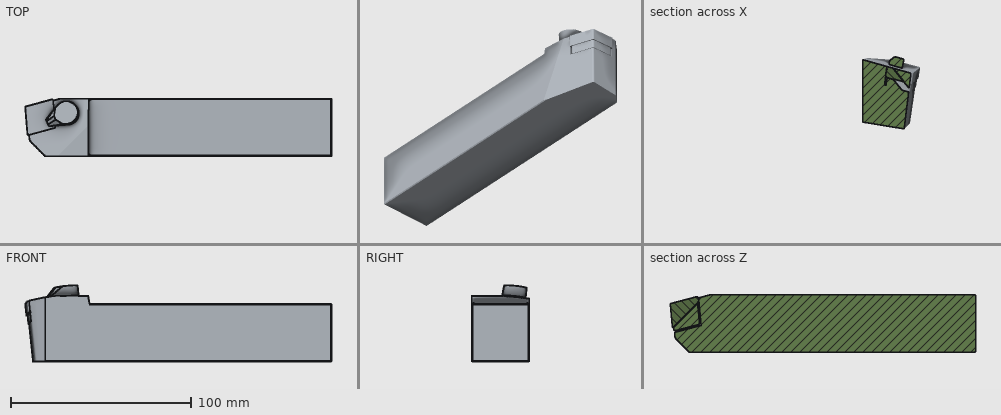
import cadquery as cq
import math

TOOL_LENGTH = 170.0
SHANK_SIZE = 32.0
HEAD_TOP = 36.5
HEAD_LENGTH = 35.0
STEP_RUN = 0.8
STEP_FILLET = 0.8
EDGE_CHAMFER = 0.5

RAKE_ANGLE = 6.0
TIP_X = 0.0
TIP_Y = 27.55
TIP_Z = 31.72

INSCRIBED_CIRCLE = 15.875
INSERT_THICKNESS = 6.35
INSERT_CORNER_RADIUS = 0.8
SHIM_THICKNESS = 4.76
SHIM_INSET = 0.55
SHIM_CORNER_RADIUS = 1.2
OBTUSE_CORNER = 100.0
SIDE_EDGE_ANGLE = 15.0

NOSE_INSET = 0.88
NOSE_BEVEL_SUM = 11.2
NOSE_TIP_RADIUS = 1.0
NOSE_BEVEL_RADIUS = 2.9

CLAMP_RADIUS = 6.3
CLAMP_HEIGHT = 6.89
CLAMP_RELIEF = 1.2
CLAMP_LIP = 1.5
CLAMP_NECK_RADIUS = 4.0
CLAMP_X = 23.65
CLAMP_Y = 23.6
CLAMP_REACH = 12.3
CLAMP_AXIS_ANGLE = 25.0
CLAMP_TIP_WIDTH = 4.1
CLAMP_TIP_HEIGHT = 1.7
CLAMP_ROOF_WIDTH = 2.1
CLAMP_ROOF_RUN = 5.2
CLAMP_FACET_TURN = 57.0

THROUGH = 300.0

TILT_ANGLE = math.degrees(math.atan(math.sqrt(2) * math.tan(math.radians(RAKE_ANGLE))))


def lean(flat):
    """Tip a flat-modelled body about the 45 degree line through the tip and set it in place."""
    return flat.rotate((0, 0, 0), (1, 1, 0), -TILT_ANGLE).translate((TIP_X, TIP_Y, TIP_Z))


def to_rake(x, y):
    """Rake-plane coordinates of the point that lies at plan position (x, y)."""
    along = ((x - TIP_X) + (y - TIP_Y)) / 2
    across = ((x - TIP_X) - (y - TIP_Y)) / 2 / math.cos(math.radians(TILT_ANGLE))
    return along + across, along - across


def polar(length, angle):
    return length * math.cos(math.radians(angle)), length * math.sin(math.radians(angle))


def add(*vectors):
    return tuple(sum(parts) for parts in zip(*vectors))


FRONT_EDGE_ANGLE = SIDE_EDGE_ANGLE - OBTUSE_CORNER
EDGE_LENGTH = INSCRIBED_CIRCLE / math.sin(math.radians(OBTUSE_CORNER))


def inset_tip(inset):
    """Tip corner moved inward so that both edges shift by the inset."""
    step = inset / math.sin(math.radians(OBTUSE_CORNER))
    return add(polar(step, SIDE_EDGE_ANGLE), polar(step, FRONT_EDGE_ANGLE))


def rhombus(inset, top, thickness):
    """Rhombic plate, its edges moved inward by the inset and its top at the given height."""
    tip = inset_tip(inset)
    side = EDGE_LENGTH - 2 * inset / math.sin(math.radians(OBTUSE_CORNER))
    front_end = add(tip, polar(side, FRONT_EDGE_ANGLE))
    side_end = add(tip, polar(side, SIDE_EDGE_ANGLE))
    far_end = add(front_end, polar(side, SIDE_EDGE_ANGLE))
    outline = cq.Workplane("XY").workplane(offset=top).polyline([tip, front_end, far_end, side_end])
    return outline.close().extrude(-thickness)


def make_blank():
    """Square shank with the raised head block, sharp front end."""
    step_foot = HEAD_LENGTH + STEP_RUN
    start = -SHANK_SIZE
    blank = (
        cq.Workplane("XZ")
        .moveTo(start, 0)
        .lineTo(TOOL_LENGTH, 0)
        .lineTo(TOOL_LENGTH, SHANK_SIZE)
        .lineTo(step_foot, SHANK_SIZE)
        .lineTo(HEAD_LENGTH, HEAD_TOP)
        .lineTo(start, HEAD_TOP)
        .close()
        .extrude(-SHANK_SIZE)
    )
    blank = blank.faces(">X").edges().chamfer(EDGE_CHAMFER)
    blank = blank.faces("<Z").edges("|X").chamfer(EDGE_CHAMFER)
    shank_top = (step_foot + TOOL_LENGTH) / 2
    for y in (0, SHANK_SIZE):
        edge = cq.selectors.NearestToPointSelector((shank_top, y, SHANK_SIZE))
        blank = blank.edges(edge).chamfer(EDGE_CHAMFER)
    foot = cq.selectors.NearestToPointSelector((step_foot, SHANK_SIZE / 2, SHANK_SIZE))
    return blank.edges(foot).fillet(STEP_FILLET)


def make_nose_envelope():
    """Prism square to the rake plane that trims the head to its nose faces."""
    tip = inset_tip(NOSE_INSET)
    bevel_x, bevel_y = to_rake(NOSE_BEVEL_SUM, 0)
    front_dir = polar(1, FRONT_EDGE_ANGLE)
    reach = (bevel_x + bevel_y - sum(tip)) / sum(front_dir)
    bevel_start = add(tip, polar(reach, FRONT_EDGE_ANGLE))
    outline = [
        tip,
        bevel_start,
        add(bevel_start, polar(THROUGH, -45)),
        add(bevel_start, polar(THROUGH, -45), polar(THROUGH, 45)),
        add(tip, polar(THROUGH, SIDE_EDGE_ANGLE)),
    ]
    prism = cq.Workplane("XY").polyline(outline).close().extrude(-THROUGH)
    for corner, radius in ((tip, NOSE_TIP_RADIUS), (bevel_start, NOSE_BEVEL_RADIUS)):
        edge = cq.selectors.NearestToPointSelector((*corner, -THROUGH / 2))
        prism = prism.edges(edge).fillet(radius)
    return prism


def make_clamp():
    """Round pad and tapering nose; modelled along +X with the pad centred on the origin."""
    half_tip = CLAMP_TIP_WIDTH / 2
    tip_distance = math.hypot(CLAMP_REACH, half_tip)
    tip_bearing = math.atan2(half_tip, CLAMP_REACH)
    tangent_bearing = tip_bearing + math.acos(CLAMP_RADIUS / tip_distance)
    tangent_x = CLAMP_RADIUS * math.cos(tangent_bearing)
    tangent_y = CLAMP_RADIUS * math.sin(tangent_bearing)
    body = (
        cq.Workplane("XY")
        .moveTo(CLAMP_REACH, -half_tip)
        .lineTo(CLAMP_REACH, half_tip)
        .lineTo(tangent_x, tangent_y)
        .threePointArc((-CLAMP_RADIUS, 0), (tangent_x, -tangent_y))
        .close()
        .extrude(CLAMP_HEIGHT)
    )

    rise = CLAMP_HEIGHT - CLAMP_TIP_HEIGHT
    roof_top = CLAMP_REACH - CLAMP_ROOF_RUN
    along_slope = cq.Vector(CLAMP_ROOF_RUN, 0, -rise)
    half_roof = CLAMP_ROOF_WIDTH / 2
    facets = [(cq.Vector(roof_top, 0, CLAMP_HEIGHT), cq.Vector(0, 1, 0))]
    turn_x, turn_y = polar(1, CLAMP_FACET_TURN)
    for side in (1, -1):
        corner = cq.Vector(roof_top, side * half_roof, CLAMP_HEIGHT)
        level_line = cq.Vector(-turn_x, side * turn_y, 0)
        facets.append((corner, level_line))
    for corner, level_line in facets:
        normal = along_slope.cross(level_line)
        if normal.z < 0:
            normal = -normal
        facet_plane = cq.Plane(corner, level_line, normal)
        waste = cq.Workplane(facet_plane).rect(THROUGH, THROUGH).extrude(THROUGH)
        body = body.cut(waste)

    relief_end = CLAMP_REACH - CLAMP_LIP
    relief = cq.Workplane("XY").box(THROUGH, THROUGH, CLAMP_RELIEF, centered=(False, True, False))
    relief = relief.translate((relief_end - THROUGH, 0, 0))
    neck = cq.Workplane("XY").circle(CLAMP_NECK_RADIUS).extrude(CLAMP_RELIEF)
    body = body.cut(relief.cut(neck))

    center = to_rake(CLAMP_X, CLAMP_Y)
    return body.rotate((0, 0, 0), (0, 0, 1), 180 + CLAMP_AXIS_ANGLE).translate((*center, 0))


def make_holder():
    """Shank, head, shim and clamp as one solid, with the insert pocket left open."""
    holder = make_blank().intersect(lean(make_nose_envelope()))
    holder = holder.cut(lean(rhombus(0, 0, INSERT_THICKNESS + SHIM_THICKNESS)))
    shim = rhombus(SHIM_INSET, -INSERT_THICKNESS, SHIM_THICKNESS).edges("|Z").fillet(SHIM_CORNER_RADIUS)
    holder = holder.union(lean(shim))
    return holder.union(lean(make_clamp())).solids()


def make_insert():
    insert = rhombus(0, 0, INSERT_THICKNESS)
    return lean(insert.edges("|Z").fillet(INSERT_CORNER_RADIUS)).solids()


holder = make_holder()
insert = make_insert()
result = cq.Compound.makeCompound([holder.val(), insert.val()])